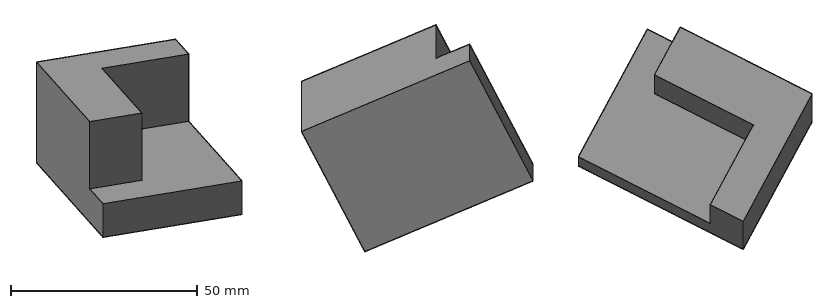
import cadquery as cq

length = 50.0
width = 40.0
height = 30.0

base_height = 10.0
side_wall_thickness = 10.0
front_wall_thickness = 15.0
front_wall_length = 40.0


def corner_block(size_x, size_y, size_z):
    """Block with its lower front left corner at the origin."""
    return cq.Workplane("XY").box(size_x, size_y, size_z, centered=False)


base = corner_block(length, width, base_height)
side_wall = corner_block(side_wall_thickness, width, height)
front_wall = corner_block(front_wall_length, front_wall_thickness, height)

result = base.union(side_wall).union(front_wall).clean()